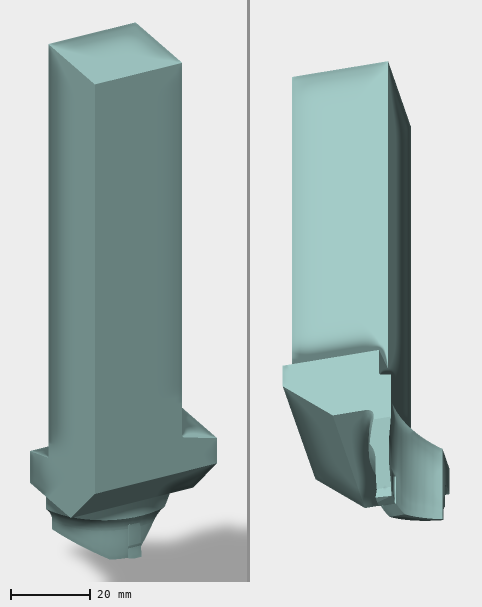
import cadquery as cq
import math

total_height = 151.35
shank_size = 25.0
shank_right = 34.92
shank_left = shank_right - shank_size

head_depth = 35.01
head_bottom = 21.6
side_shoulder_height = 30.6
back_shoulder_height = 41.75
shoulder_angle = 15.0
shoulder_fillet = 0.7
heel_chamfer = 13.0

side_relief = 0.15

blade_center = (-5.5, 24.0)
blade_root_radius = 20.15
blade_radius = 18.4
head_fillet = 1.8
blade_step_height = 12.9
blade_fillet_bottom = 9.0
hollow_center = (-12.95, 25.2)
hollow_radius = 22.05

front_slope_top = (7.25, 6.2)
flat_front = (16.9, 0.7)
back_slope_bottom_height = 3.2
back_slope_top = (head_depth, 17.9)

insert_seat_y = 21.3
insert_rake_y = 25.0
insert_top = 10.15
insert_lead_in_width = 0.5
insert_lead_in_height = 2.0
insert_front_clearance = 0.7
insert_left = 9.4
insert_right = 12.95
insert_shoulder_top = 4.2
insert_shoulder_bottom = 3.4
insert_shoulder_step = 0.15
edge_left = 9.0
edge_right = 13.2
edge_right_height = 0.35


def make_shank_and_head():
    """Square shank with a shoulder on the -X side, a higher one on +Y and a chamfered heel on +X."""
    head_slope = math.tan(math.radians(shoulder_angle))
    shank_height = total_height - head_bottom
    shank = cq.Workplane("XY").box(shank_size, shank_size, shank_height, centered=False)
    shank = shank.translate((shank_left, 0, head_bottom))
    back_overhang = head_depth - shank_size
    back_head = (
        cq.Workplane("YZ", origin=(shank_left, 0, 0))
        .moveTo(0, head_bottom)
        .lineTo(head_depth, head_bottom)
        .lineTo(head_depth, back_shoulder_height)
        .lineTo(shank_size, back_shoulder_height + back_overhang * head_slope)
        .lineTo(0, back_shoulder_height + back_overhang * head_slope)
        .close()
        .extrude(shank_size)
    )
    side_head = (
        cq.Workplane("XZ")
        .moveTo(0, head_bottom)
        .lineTo(0, side_shoulder_height)
        .lineTo(shank_left, side_shoulder_height + shank_left * head_slope)
        .lineTo(shank_left, head_bottom)
        .close()
        .extrude(-head_depth)
    )
    body = shank.union(back_head).union(side_head)
    side_corner = (shank_left, head_depth / 2, side_shoulder_height + shank_left * head_slope)
    back_corner = (
        shank_left + shank_size / 2,
        shank_size,
        back_shoulder_height + back_overhang * head_slope,
    )
    for corner in (side_corner, back_corner):
        body = body.edges(cq.selectors.NearestToPointSelector(corner)).fillet(shoulder_fillet)

    right_side_relief = (
        cq.Workplane("XY")
        .moveTo(shank_right - side_relief, 0)
        .lineTo(shank_right, 0)
        .lineTo(shank_right, head_depth)
        .close()
        .extrude(total_height)
    )
    heel = (
        cq.Workplane("XZ")
        .moveTo(shank_right - heel_chamfer, head_bottom)
        .lineTo(shank_right, head_bottom)
        .lineTo(shank_right, head_bottom + heel_chamfer)
        .close()
        .extrude(-head_depth)
    )
    return body.cut(right_side_relief).cut(heel)


def make_blade():
    """Turned blade blank with its two concave fillets, trimmed to the head and the sloped tip."""
    step = blade_root_radius - blade_radius
    drop = blade_step_height - blade_fillet_bottom
    fillet_radius = (drop**2 + step**2) / (2 * step)
    half_angle = math.asin(drop / fillet_radius) / 2
    step_mid = (
        blade_radius + fillet_radius * (1 - math.cos(half_angle)),
        blade_fillet_bottom + fillet_radius * math.sin(half_angle),
    )
    head_mid_offset = head_fillet * (1 - math.sqrt(0.5))
    blank = (
        cq.Workplane("XZ")
        .lineTo(blade_radius, 0)
        .lineTo(blade_radius, blade_fillet_bottom)
        .threePointArc(step_mid, (blade_root_radius, blade_step_height))
        .lineTo(blade_root_radius, head_bottom - head_fillet)
        .threePointArc(
            (blade_root_radius + head_mid_offset, head_bottom - head_mid_offset),
            (blade_root_radius + head_fillet, head_bottom),
        )
        .lineTo(0, head_bottom)
        .close()
        .revolve(360, (0, 0), (0, 1))
        .translate((*blade_center, 0))
    )
    front_slope = (front_slope_top[1] - flat_front[1]) / (flat_front[0] - front_slope_top[0])
    trim = (
        cq.Workplane("YZ")
        .moveTo(0, head_bottom)
        .lineTo(0, front_slope_top[1] + front_slope_top[0] * front_slope)
        .lineTo(*flat_front)
        .lineTo(insert_rake_y, flat_front[1])
        .lineTo(insert_rake_y, back_slope_bottom_height)
        .lineTo(*back_slope_top)
        .lineTo(head_depth, head_bottom)
        .close()
        .extrude(shank_right)
    )
    return blank.intersect(trim)


def insert_side_profile():
    """Outline of the insert in the YZ plane."""
    return (
        cq.Workplane("YZ")
        .moveTo(insert_seat_y, insert_front_clearance)
        .lineTo(insert_seat_y, insert_top)
        .lineTo(insert_rake_y - insert_lead_in_width, insert_top)
        .lineTo(insert_rake_y, insert_top - insert_lead_in_height)
        .lineTo(insert_rake_y, 0)
        .close()
    )


def make_holder():
    """Holder with the blade hollowed on its -X side and pocketed for the insert."""
    hollow_height = back_shoulder_height
    hollow = cq.Workplane("XY").center(*hollow_center).circle(hollow_radius).extrude(hollow_height)
    pocket = insert_side_profile().extrude(shank_right)
    return make_shank_and_head().union(make_blade()).cut(hollow).cut(pocket)


def make_insert():
    """Bar that shifts to -X at a shoulder, then flares down to the cutting edge at Z = 0."""
    front_outline = (
        cq.Workplane("XZ")
        .moveTo(edge_left, 0)
        .lineTo(insert_left - insert_shoulder_step, insert_shoulder_bottom)
        .lineTo(insert_left, insert_shoulder_top)
        .lineTo(insert_left, insert_top)
        .lineTo(insert_right, insert_top)
        .lineTo(insert_right, insert_shoulder_top)
        .lineTo(insert_right - insert_shoulder_step, insert_shoulder_bottom)
        .lineTo(edge_right, edge_right_height)
        .close()
        .extrude(-head_depth)
    )
    return insert_side_profile().extrude(shank_right).intersect(front_outline)


holder = make_holder()
cutting_insert = make_insert()
result = cq.Compound.makeCompound([holder.val(), cutting_insert.val()])